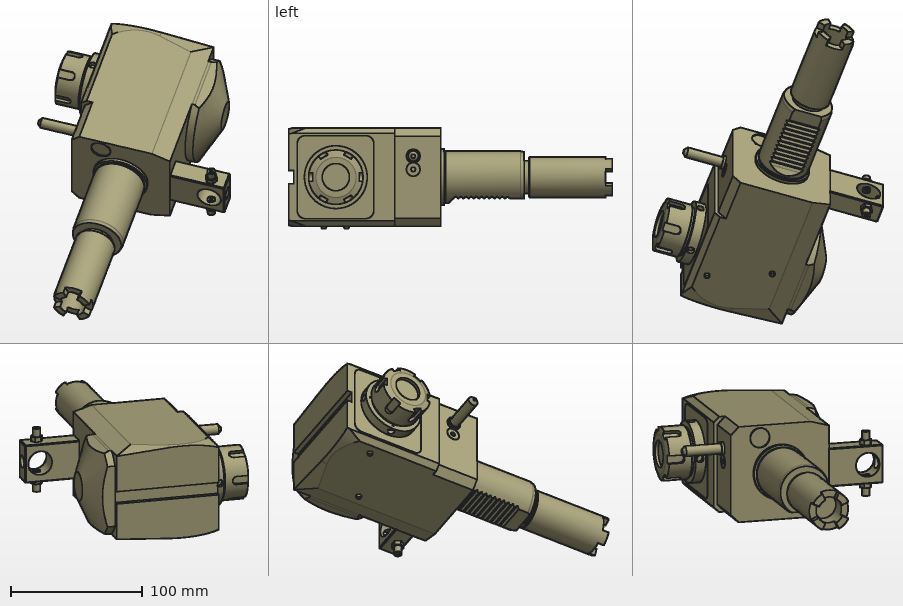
import cadquery as cq
import math


BODY_LENGTH = 115.7
BODY_HALF_HEIGHT = 37.5
HEAD_LEFT = -42.0
FRONT_LEFT = -39.2
BODY_RIGHT = 39.0
STEP_Y = 35.0
HEAD_CHAMFER_X = 4.5
HEAD_CHAMFER_Z = 4.2
FRONT_CHAMFER = 6.2
SLANT_START_X = 24.5
SLANT_DROP = 4.2
SLANT_SLOPE = SLANT_DROP / (BODY_RIGHT - SLANT_START_X)

RELIEF_APEX_X = -12.8
RELIEF_APEX_Y = 112.8
RELIEF_RADIUS = 35.0
RELIEF_LINE_ANGLE = math.atan(0.3)
RELIEF_RUN_PER_DROP = 4.0
RELIEF_DEPTH = 7.5
RELIEF_MARGIN = 24.6

REAR_SLOT_DEPTH = 4.0
REAR_SLOT_WIDTH = 9.8

SHALLOW = 0.2
COVER_Y_MIN = 51.0
COVER_Y_MAX = 109.0
COVER_HEIGHT = 63.0
COVER_CORNER_RADIUS = 6.0

PLUG_X = -16.0
PLUG_Z = 27.5
PLUG_RADIUS = 7.6
PLUG_DEPTH = 1.0

FLANGE_RADIUS = 21.5
FLANGE_END = -2.5
UNDERCUT_RADIUS = 19.5
UNDERCUT_END = -3.7
SHANK_RADIUS = 20.0
SHANK_END = -63.3
SHANK_CHAMFER_LENGTH = 3.0
SHANK_CHAMFER_DEPTH = 0.7
NECK_RADIUS = 12.5
NECK_END = -67.0
DRIVE_RADIUS = 15.5
DRIVE_CHAMFER = 0.7
CLAW_LENGTH = 5.2
DRIVE_END = -130.5
CLAW_BORE_RADIUS = 10.0
CLAW_BORE_DEPTH = 19.7
CLAW_GAP_HALF_ANGLE = math.radians(25)
CLAW_COUNT = 4

TOOTH_FLAT_Z = -16.3
TOOTH_PITCH = 4.0
TOOTH_DEPTH = 1.5
TOOTH_GAP_COUNT = 11
FIRST_TOOTH_GAP_Y = -11.3

NUT_Y = 79.8
NUT_FRONT = -71.7
NUT_RADIUS = 20.7
NUT_FACE_RADIUS = 15.3
NUT_CONE_LENGTH = 1.7
NUT_BORE_RADIUS = 10.3
NUT_BORE_DEPTH = 2.5
NUT_BACK = -51.7
NUT_GROOVE_RADIUS = 19.2
COLLAR_FRONT = -49.7
COLLAR_RADIUS = 24.0
NUT_SLOT_WIDTH = 6.5
NUT_SLOT_FLOOR_RADIUS = 17.7
NUT_SLOT_END = -57.5
NUT_SLOT_COUNT = 6
COLLAR_HOLE_X = -46.3
COLLAR_HOLE_RADIUS = 2.7
COLLAR_HOLE_DEPTH = 3.7
COLLAR_HOLE_COUNT = 4

DOME_RADIUS = 39.6
DOME_CYLINDER_END = 45.0
DOME_TIP = 58.9
DOME_TIP_RADIUS = 11.0
DOME_FLAT_START = 41.1
DOME_REAR_Y = 111.3

PIN_Y = 21.0
PIN_Z = 16.0
PIN_RADIUS = 4.0
PIN_CHAMFER = 2.5
PIN_TIP = -71.7
PIN_COLLAR_RADIUS = 5.2
PIN_COLLAR_LENGTH = 2.0
SCREW_Z = 6.0
SCREW_RADIUS = 5.2
SCREW_SOCKET_RADIUS = 1.7
SCREW_SOCKET_DEPTH = 2.5

ARM_END = 82.0
ARM_Y_MIN = 0.5
ARM_Y_MAX = 16.0
ARM_HALF_HEIGHT = 15.0
ARM_CHAMFER = 0.7
ARM_BORE_X = 70.0
ARM_BORE_RADIUS = 9.4
ARM_END_HOLE_RADIUS = 5.0
STUD_Y = 6.2
STUD_RADIUS = 3.0
STUD_END = 25.0
STUD_INNER_END = 10.3
STUD_SOCKET_WIDTH = 2.7
STUD_SOCKET_DEPTH = 2.5
LOCK_NUT_THICKNESS = 3.7
LOCK_NUT_ACROSS_CORNERS = 9.0

BUTTON_HEIGHT = 1.7
BUTTON_BASE_RADIUS = 2.2
BUTTON_TOP_RADIUS = 1.5
BUTTON_PLACES = [(-30.0, 89.0), (16.5, 71.7)]

OVERLAP = 2.5


def cylinder(start, direction, radius, length):
    return cq.Workplane(cq.Solid.makeCylinder(radius, length, cq.Vector(*start), cq.Vector(*direction)))


def around_x(points, y):
    """Turn an (x, radius) outline about the X-parallel axis through y."""
    outline = cq.Workplane("XY").polyline(points).close()
    return outline.revolve(360, (0, 0, 0), (1, 0, 0)).translate((0, y, 0))


def body_block(left, chamfer_x, chamfer_z, y_min, y_max):
    top = BODY_HALF_HEIGHT
    upper = [
        (left, top - chamfer_z),
        (left + chamfer_x, top),
        (SLANT_START_X, top),
        (BODY_RIGHT, top - SLANT_DROP),
    ]
    lower = [(x, -z) for x, z in reversed(upper)]
    outline = cq.Workplane("XZ", origin=(0, y_min, 0)).polyline(upper + lower).close()
    return outline.extrude(y_min - y_max)


def rear_relief():
    """Cutter for the top: a curved outline swept down and back along the incline."""
    centre_y = RELIEF_APEX_Y - RELIEF_RADIUS
    left_x = HEAD_LEFT - SHALLOW
    right_x = BODY_RIGHT + OVERLAP
    left_y = centre_y + math.sqrt(RELIEF_RADIUS**2 - (left_x - RELIEF_APEX_X) ** 2)
    tangent_x = RELIEF_APEX_X + RELIEF_RADIUS * math.sin(RELIEF_LINE_ANGLE)
    tangent_y = centre_y + RELIEF_RADIUS * math.cos(RELIEF_LINE_ANGLE)
    right_y = tangent_y - (right_x - tangent_x) * math.tan(RELIEF_LINE_ANGLE)
    outline = (
        cq.Workplane("XY", origin=(0, 0, BODY_HALF_HEIGHT))
        .moveTo(left_x, left_y)
        .threePointArc((RELIEF_APEX_X, RELIEF_APEX_Y), (tangent_x, tangent_y))
        .lineTo(right_x, right_y)
        .lineTo(right_x, BODY_LENGTH + RELIEF_MARGIN)
        .lineTo(left_x, BODY_LENGTH + RELIEF_MARGIN)
        .close()
        .wire()
        .val()
    )
    incline = cq.Vector(0, RELIEF_RUN_PER_DROP * RELIEF_DEPTH, -RELIEF_DEPTH)
    return cq.Workplane(cq.Solid.extrudeLinear(outline, [], incline))


def housing():
    front = body_block(FRONT_LEFT, FRONT_CHAMFER, FRONT_CHAMFER, 0, STEP_Y)
    head = body_block(HEAD_LEFT, HEAD_CHAMFER_X, HEAD_CHAMFER_Z, STEP_Y, BODY_LENGTH)
    relief = rear_relief()
    body = front.union(head).cut(relief).cut(relief.mirror("XY"))

    slot_length = 2 * (BODY_RIGHT - HEAD_LEFT)
    rear_slot = cq.Workplane("XY").box(slot_length, 2 * REAR_SLOT_DEPTH, REAR_SLOT_WIDTH)
    body = body.cut(rear_slot.translate((0, BODY_LENGTH, 0)))

    cover = (
        cq.Workplane("XY")
        .box(2 * SHALLOW, COVER_Y_MAX - COVER_Y_MIN, COVER_HEIGHT)
        .edges("|X")
        .fillet(COVER_CORNER_RADIUS)
        .translate((HEAD_LEFT, (COVER_Y_MIN + COVER_Y_MAX) / 2, 0))
    )
    plug = cylinder((PLUG_X, 0, PLUG_Z), (0, 1, 0), PLUG_RADIUS, PLUG_DEPTH)
    screw_head = cylinder((FRONT_LEFT, PIN_Y, SCREW_Z), (1, 0, 0), SCREW_RADIUS, SHALLOW)
    socket = cylinder((FRONT_LEFT, PIN_Y, SCREW_Z), (1, 0, 0), SCREW_SOCKET_RADIUS, SCREW_SOCKET_DEPTH)
    return body.cut(cover).cut(plug).cut(screw_head).cut(socket)


def tooth_cutter():
    """Material below the shank flat: a 45-degree run-in, the tooth gaps and the plain flat."""
    below = -SHANK_RADIUS - OVERLAP
    flat_start = FIRST_TOOTH_GAP_Y + TOOTH_PITCH / 2
    points = [(flat_start + TOOTH_FLAT_Z - below, below), (flat_start, TOOTH_FLAT_Z)]
    for i in range(TOOTH_GAP_COUNT):
        gap_y = FIRST_TOOTH_GAP_Y - i * TOOTH_PITCH
        points.append((gap_y, TOOTH_FLAT_Z + TOOTH_DEPTH))
        points.append((gap_y - TOOTH_PITCH / 2, TOOTH_FLAT_Z))
    points += [(SHANK_END, TOOTH_FLAT_Z), (SHANK_END, below)]
    return cq.Workplane("YZ").polyline(points).close().extrude(SHANK_RADIUS, both=True)


def shank():
    profile = [
        (0, OVERLAP),
        (FLANGE_RADIUS, OVERLAP),
        (FLANGE_RADIUS, FLANGE_END),
        (UNDERCUT_RADIUS, FLANGE_END),
        (UNDERCUT_RADIUS, UNDERCUT_END),
        (SHANK_RADIUS, UNDERCUT_END),
        (SHANK_RADIUS, SHANK_END + SHANK_CHAMFER_LENGTH),
        (SHANK_RADIUS - SHANK_CHAMFER_DEPTH, SHANK_END),
        (NECK_RADIUS, SHANK_END),
        (NECK_RADIUS, NECK_END),
        (DRIVE_RADIUS - DRIVE_CHAMFER, NECK_END),
        (DRIVE_RADIUS, NECK_END - DRIVE_CHAMFER),
        (DRIVE_RADIUS, DRIVE_END),
        (0, DRIVE_END),
    ]
    body = cq.Workplane("XY").polyline(profile).close().revolve(360, (0, 0, 0), (0, 1, 0))
    body = body.cut(tooth_cutter())
    body = body.cut(cylinder((0, DRIVE_END, 0), (0, 1, 0), CLAW_BORE_RADIUS, CLAW_BORE_DEPTH))

    half_width = DRIVE_RADIUS * math.tan(CLAW_GAP_HALF_ANGLE)
    gap = (
        cq.Workplane("XZ", origin=(0, DRIVE_END, 0))
        .polyline([(0, 0), (-half_width, DRIVE_RADIUS), (half_width, DRIVE_RADIUS)])
        .close()
        .extrude(-CLAW_LENGTH)
    )
    for i in range(CLAW_COUNT):
        body = body.cut(gap.rotate((0, 0, 0), (0, 1, 0), i * 360 / CLAW_COUNT))
    return body


def collet_nut():
    profile = [
        (HEAD_LEFT + OVERLAP, 0),
        (HEAD_LEFT + OVERLAP, COLLAR_RADIUS),
        (COLLAR_FRONT, COLLAR_RADIUS),
        (COLLAR_FRONT, NUT_GROOVE_RADIUS),
        (NUT_BACK, NUT_GROOVE_RADIUS),
        (NUT_BACK, NUT_RADIUS),
        (NUT_FRONT + NUT_CONE_LENGTH, NUT_RADIUS),
        (NUT_FRONT, NUT_FACE_RADIUS),
        (NUT_FRONT, NUT_BORE_RADIUS),
        (NUT_FRONT + NUT_BORE_DEPTH, NUT_BORE_RADIUS),
        (NUT_FRONT + NUT_BORE_DEPTH, 0),
    ]
    nut = around_x(profile, NUT_Y)

    slot_end_centre = NUT_SLOT_END - NUT_SLOT_WIDTH / 2
    slot_open_length = slot_end_centre - NUT_FRONT
    slot = (
        cq.Workplane("XY", origin=(slot_end_centre, NUT_Y, NUT_SLOT_FLOOR_RADIUS))
        .slot2D(2 * slot_open_length, NUT_SLOT_WIDTH)
        .extrude(NUT_RADIUS)
        .translate((NUT_SLOT_WIDTH / 2 - slot_open_length, 0, 0))
    )
    axis = ((0, NUT_Y, 0), (1, NUT_Y, 0))
    for i in range(NUT_SLOT_COUNT):
        nut = nut.cut(slot.rotate(*axis, 90 + i * 360 / NUT_SLOT_COUNT))

    hole_start = (COLLAR_HOLE_X, NUT_Y, COLLAR_RADIUS)
    hole = cylinder(hole_start, (0, 0, -1), COLLAR_HOLE_RADIUS, COLLAR_HOLE_DEPTH)
    for i in range(COLLAR_HOLE_COUNT):
        nut = nut.cut(hole.rotate(*axis, i * 360 / COLLAR_HOLE_COUNT))
    return nut


def dome():
    start = BODY_RIGHT - OVERLAP
    profile = [
        (start, 0),
        (start, DOME_RADIUS),
        (DOME_CYLINDER_END, DOME_RADIUS),
        (DOME_TIP, DOME_TIP_RADIUS),
        (DOME_TIP, 0),
    ]
    edge_z = BODY_HALF_HEIGHT - SLANT_DROP
    tip_z = edge_z - (DOME_TIP - DOME_FLAT_START) * SLANT_SLOPE
    upper = [(start, edge_z), (DOME_FLAT_START, edge_z), (DOME_TIP, tip_z)]
    lower = [(x, -z) for x, z in reversed(upper)]
    envelope = (
        cq.Workplane("XZ", origin=(0, DOME_REAR_Y, 0))
        .polyline(upper + lower)
        .close()
        .extrude(2 * DOME_RADIUS)
    )
    return around_x(profile, NUT_Y).intersect(envelope)


def locating_pin():
    root = FRONT_LEFT + OVERLAP
    collar_front = FRONT_LEFT - PIN_COLLAR_LENGTH
    profile = [
        (root, 0),
        (root, PIN_COLLAR_RADIUS),
        (collar_front, PIN_COLLAR_RADIUS),
        (collar_front, PIN_RADIUS),
        (PIN_TIP + PIN_CHAMFER, PIN_RADIUS),
        (PIN_TIP, PIN_RADIUS - PIN_CHAMFER),
        (PIN_TIP, 0),
    ]
    return around_x(profile, PIN_Y).translate((0, 0, PIN_Z))


def stud():
    """Upper set screw with its lock nut and a hexagon socket at each end."""
    rod = cylinder((ARM_BORE_X, STUD_Y, STUD_INNER_END), (0, 0, 1), STUD_RADIUS, STUD_END - STUD_INNER_END)
    nut = (
        cq.Workplane("XY", origin=(ARM_BORE_X, STUD_Y, ARM_HALF_HEIGHT))
        .polygon(6, LOCK_NUT_ACROSS_CORNERS)
        .extrude(LOCK_NUT_THICKNESS)
    )
    screw = rod.union(nut)
    for floor_z in (STUD_INNER_END, STUD_END - STUD_SOCKET_DEPTH):
        socket = (
            cq.Workplane("XY", origin=(ARM_BORE_X, STUD_Y, floor_z))
            .polygon(6, STUD_SOCKET_WIDTH)
            .extrude(STUD_SOCKET_DEPTH)
        )
        screw = screw.cut(socket)
    return screw


def coolant_arm():
    start = BODY_RIGHT - OVERLAP
    middle_y = (ARM_Y_MIN + ARM_Y_MAX) / 2
    arm = (
        cq.Workplane("XY")
        .box(ARM_END - start, ARM_Y_MAX - ARM_Y_MIN, 2 * ARM_HALF_HEIGHT)
        .translate(((start + ARM_END) / 2, middle_y, 0))
        .edges("|X or >X")
        .chamfer(ARM_CHAMFER)
    )
    bore_start = (ARM_BORE_X, ARM_Y_MIN, 0)
    arm = arm.cut(cylinder(bore_start, (0, 1, 0), ARM_BORE_RADIUS, ARM_Y_MAX - ARM_Y_MIN))
    hole_start = (ARM_BORE_X, middle_y, 0)
    arm = arm.cut(cylinder(hole_start, (1, 0, 0), ARM_END_HOLE_RADIUS, ARM_END - ARM_BORE_X))

    stud_hole = cylinder((ARM_BORE_X, STUD_Y, 0), (0, 0, 1), STUD_RADIUS, ARM_HALF_HEIGHT)
    upper_stud = stud()
    arm = arm.cut(stud_hole).cut(stud_hole.mirror("XY"))
    return arm.union(upper_stud).union(upper_stud.mirror("XY"))


def button(x, y):
    outline = [
        (0, OVERLAP),
        (BUTTON_BASE_RADIUS, OVERLAP),
        (BUTTON_BASE_RADIUS, 0),
        (BUTTON_TOP_RADIUS, -BUTTON_HEIGHT),
        (0, -BUTTON_HEIGHT),
    ]
    head = cq.Workplane("XZ").polyline(outline).close().revolve(360, (0, 0, 0), (0, 1, 0))
    return head.translate((x, y, -BODY_HALF_HEIGHT))


result = housing()
for attached in (shank(), collet_nut(), dome(), locating_pin(), coolant_arm()):
    result = result.union(attached)
for button_x, button_y in BUTTON_PLACES:
    result = result.union(button(button_x, button_y))